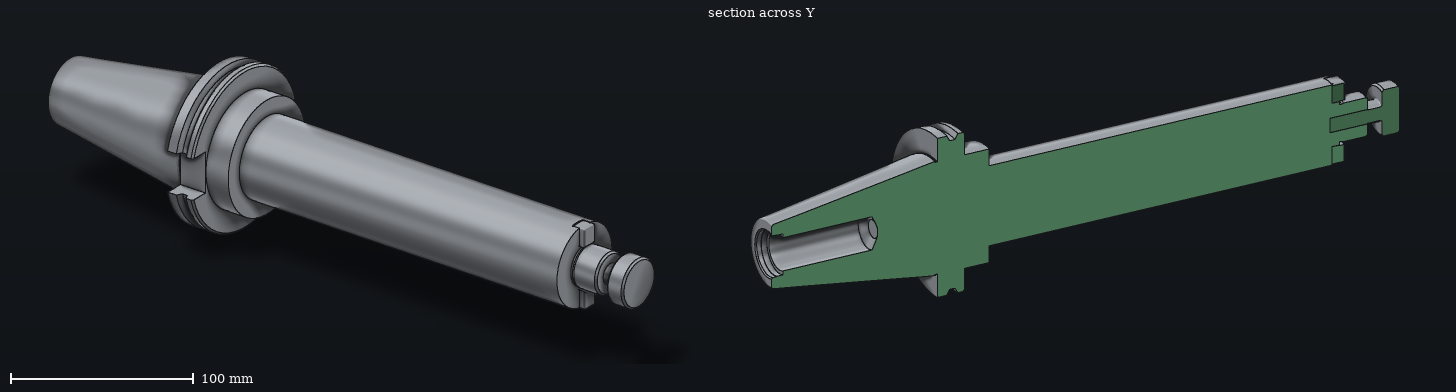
import cadquery as cq
import math

LENGTH = 392.5
TAPER_END_X = 101.0
LAND_END_X = 102.5
FLANGE_X = 103.5
FLANGE_END_X = 121.0
COLLAR_END_X = 136.2
SHOULDER_X = 355.0
PILOT_END_X = 372.5
HEAD_X = 381.2

TAPER_DIA = 70.0
TIP_DIA = 40.0
TIP_FILLET = 2.0
RELIEF_DIA = 69.0

FLANGE_DIA = 97.5
FLANGE_CHAMFER = 1.0
GROOVE_X = 113.0
GROOVE_BOTTOM_WIDTH = 3.0
GROOVE_DEPTH = 3.0
GROOVE_HALF_ANGLE = 30
SLOT_WIDTH = 25.0
FRONT_SLOT_Y = 35.5
BACK_SLOT_Y = 37.5
COLLAR_DIA = TAPER_DIA

SHANK_DIA = 50.0
PILOT_DIA = 25.5
PILOT_CHAMFER = 1.0
UNDERCUT_DIA = 24.7
UNDERCUT_FLAT = 1.0
UNDERCUT_WIDTH = 2.5

MOUTH_DIA = 28.3
ENTRY_DIA = 26.7
ENTRY_DEPTH = 3.5
COUNTERBORE_DIA = 26.5
COUNTERBORE_DEPTH = 7.0
BORE_DIA = 22.0
BORE_DEPTH = 63.0
BORE_TIP_DIA = 10.5
BORE_TIP_HALF_ANGLE = 60

SCREW_DIA = 12.5
SCREW_INSERTION = 23.5
NECK_FILLET = 0.8
HEAD_DIA = 30.0
HEAD_CHAMFER = 1.0

KEY_X = 350.2
KEY_END_X = 359.0
KEY_SIDES = (1, -1)
KEY_WIDTH = 9.5
KEY_INNER_Z = 13.5
KEY_OUTER_Z = 24.7
KEY_FILLET = 1.0


def revolved(profile):
    """Solid of revolution about X from (x, radius) points."""
    return cq.Workplane("XY").polyline(profile).close().revolve(360, (0, 0, 0), (1, 0, 0))


def cylinder(start_x, end_x, diameter):
    return cq.Workplane("YZ", origin=(start_x, 0, 0)).circle(diameter / 2).extrude(end_x - start_x)


def make_outside():
    """Outer shape of the arbor: taper, flange, collar, shank and pilot joined end to end."""
    taper = revolved([
        (0, 0),
        (0, TIP_DIA / 2),
        (TAPER_END_X, TAPER_DIA / 2),
        (TAPER_END_X, 0),
    ]).faces("<X").edges().fillet(TIP_FILLET)
    land = cylinder(TAPER_END_X, LAND_END_X, TAPER_DIA)
    relief = cylinder(LAND_END_X, FLANGE_X, RELIEF_DIA)
    flange = cylinder(FLANGE_X, FLANGE_END_X, FLANGE_DIA).faces(">X").edges().chamfer(FLANGE_CHAMFER)
    collar = cylinder(FLANGE_END_X, COLLAR_END_X, COLLAR_DIA)
    shank = cylinder(COLLAR_END_X, SHOULDER_X, SHANK_DIA)
    pilot = cylinder(SHOULDER_X, PILOT_END_X, PILOT_DIA).faces(">X").edges().chamfer(PILOT_CHAMFER)
    outside = taper
    for section in (land, relief, flange, collar, shank, pilot):
        outside = outside.union(section)
    return outside


def make_undercut():
    """Shallow ring at the pilot root, sloping back up to the pilot surface."""
    outer = PILOT_DIA / 2
    bottom = UNDERCUT_DIA / 2
    return revolved([
        (SHOULDER_X, outer),
        (SHOULDER_X, bottom),
        (SHOULDER_X + UNDERCUT_FLAT, bottom),
        (SHOULDER_X + UNDERCUT_WIDTH, outer),
    ])


def make_groove():
    """V-groove ring with a flat bottom, around the flange."""
    outer = FLANGE_DIA / 2
    bottom_half = GROOVE_BOTTOM_WIDTH / 2
    top_half = bottom_half + GROOVE_DEPTH * math.tan(math.radians(GROOVE_HALF_ANGLE))
    return revolved([
        (GROOVE_X - top_half, outer),
        (GROOVE_X - bottom_half, outer - GROOVE_DEPTH),
        (GROOVE_X + bottom_half, outer - GROOVE_DEPTH),
        (GROOVE_X + top_half, outer),
    ])


def make_slot(side, bottom_y):
    """Drive slot through the flange on the +Y or -Y side (side = 1 or -1)."""
    depth = FLANGE_DIA / 2 - bottom_y
    return cq.Workplane("XY").box(FLANGE_END_X - FLANGE_X, depth, SLOT_WIDTH).translate(
        ((FLANGE_X + FLANGE_END_X) / 2, side * (bottom_y + depth / 2), 0)
    )


def make_bore():
    """Stepped blind bore with a chamfered mouth and a conical, flat-ended tip."""
    mouth_depth = (MOUTH_DIA - ENTRY_DIA) / 2
    tip_length = (BORE_DIA - BORE_TIP_DIA) / 2 / math.tan(math.radians(BORE_TIP_HALF_ANGLE))
    return revolved([
        (0, 0),
        (0, MOUTH_DIA / 2),
        (mouth_depth, ENTRY_DIA / 2),
        (ENTRY_DEPTH, ENTRY_DIA / 2),
        (ENTRY_DEPTH, COUNTERBORE_DIA / 2),
        (COUNTERBORE_DEPTH, COUNTERBORE_DIA / 2),
        (COUNTERBORE_DEPTH, BORE_DIA / 2),
        (BORE_DEPTH, BORE_DIA / 2),
        (BORE_DEPTH + tip_length, BORE_TIP_DIA / 2),
        (BORE_DEPTH + tip_length, 0),
    ])


def make_screw():
    """Round-headed screw; its plain stem fills a matching hole in the pilot."""
    head = cylinder(HEAD_X, LENGTH, HEAD_DIA).faces("<X or >X").edges().chamfer(HEAD_CHAMFER)
    screw_blank = head.union(cylinder(PILOT_END_X - SCREW_INSERTION, HEAD_X, SCREW_DIA))
    neck_corner = cq.selectors.NearestToPointSelector((HEAD_X, 0, 0))
    return screw_blank.edges(neck_corner).fillet(NECK_FILLET)


def key_block(side, outer_z):
    """Plain block on the +Z or -Z side (side = 1 or -1), from the key bottom out to outer_z."""
    height = outer_z - KEY_INNER_Z
    block = cq.Workplane("XY").box(KEY_END_X - KEY_X, KEY_WIDTH, height)
    return block.translate(((KEY_X + KEY_END_X) / 2, 0, side * (KEY_INNER_Z + height / 2)))


def make_key(side):
    outer_face = ">Z" if side > 0 else "<Z"
    return key_block(side, KEY_OUTER_Z).faces(f"{outer_face} or >X").edges().fillet(KEY_FILLET)


def make_key_slot(side):
    return key_block(side, SHANK_DIA / 2)


def make_arbor(screw):
    arbor = make_outside().cut(make_undercut()).cut(make_groove()).cut(make_bore())
    arbor = arbor.cut(make_slot(-1, FRONT_SLOT_Y)).cut(make_slot(1, BACK_SLOT_Y))
    for side in KEY_SIDES:
        arbor = arbor.cut(make_key_slot(side))
    return arbor.cut(screw)


screw = make_screw()
arbor = make_arbor(screw)
keys = [make_key(side) for side in KEY_SIDES]

result = cq.Compound.makeCompound([arbor.val(), screw.val(), *[key.val() for key in keys]])